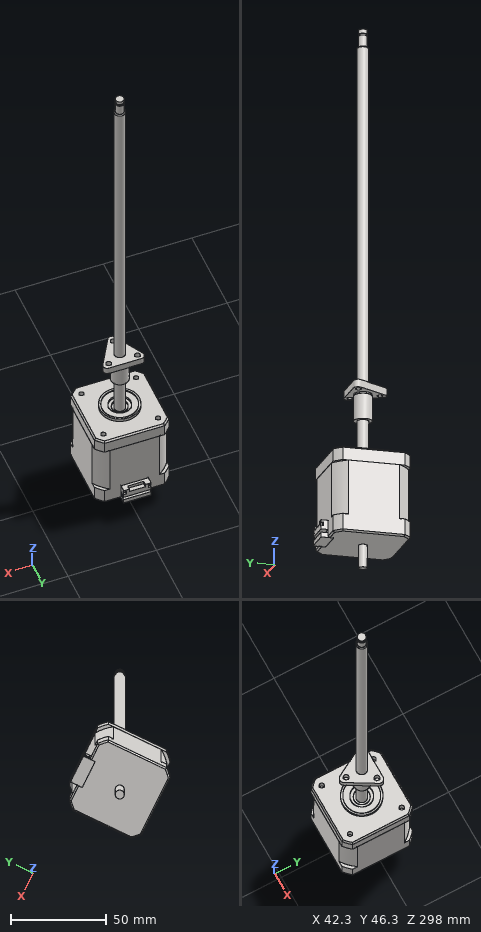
import cadquery as cq
import math

FRAME_WIDTH = 42.3
FRAME_FACE_Y = FRAME_WIDTH / 2
CAP_CORNER_RADIUS = 27.0
STACK_CORNER_RADIUS = 25.3
CAP_CHAMFER = 1.0

FRAME_BOTTOM = 12.5
REAR_CAP_TOP = 22.0
STACK_TOP = 51.8
FRAME_TOP = 59.5
BOSS_TOP = 61.5
NUT_BOTTOM = 81.3
FLANGE_BOTTOM = 96.2
FLANGE_TOP = 100.5
SCREW_TOP = 288.5
SHAFT_TOP = 298.0

BOSS_DIAMETER = 22.3
BOSS_RADIUS = BOSS_DIAMETER / 2
RIM_WIDTH = 1.2
RIM_HEIGHT = 0.5
RECESS_RADIUS = 6.3
CLEARANCE_RADIUS = 4.5
CLEARANCE_DEPTH = 1.0
MOUNT_HOLE_SPACING = 31.0
MOUNT_HOLE_DIAMETER = 2.7
MOUNT_HOLE_DEPTH = 4.5

SCREW_DIAMETER = 6.3
SCREW_RADIUS = SCREW_DIAMETER / 2
SCREW_CHAMFER = 0.5
SHAFT_RADIUS = 2.5
SCREW_START = FRAME_BOTTOM + 3.0
GROOVE_BOTTOM = 294.7
GROOVE_WIDTH = 1.0
GROOVE_DEPTH = 0.3

COLLAR_RADIUS = 5.0
NECK_HEIGHT = 1.0
NECK_DEPTH = 0.3
FLANGE_TIP_CENTRE = 10.7
FLANGE_TIP_RADIUS = 2.5
FLANGE_HOLE_CIRCLE_DIAMETER = 18.8
FLANGE_HOLE_DIAMETER = 3.0
FLANGE_TIP_ANGLES = (-90, 30, 150)

CONNECTOR_WIDTH = 15.5
CONNECTOR_REACH = 4.0
CONNECTOR_SEAT_DEPTH = 3.0
CONNECTOR_FRONT_Y = FRAME_FACE_Y + CONNECTOR_REACH
SLOT_BOTTOM = FRAME_BOTTOM + 2.7
SLOT_TOP = FRAME_BOTTOM + 4.5
LATCH_WIDTH = 9.0
LATCH_DEPTH = 2.5
LATCH_HEIGHT = 1.8
SIDE_NOTCH_WIDTH = 1.5
SIDE_NOTCH_DEPTH = 1.2
SIDE_NOTCH_BOTTOM = REAR_CAP_TOP - 3.0
SIDE_NOTCH_TOP = REAR_CAP_TOP - 1.2


def disc(radius, bottom, top):
    return cq.Workplane("XY").workplane(offset=bottom).circle(radius).extrude(top - bottom)


def ring(outer_radius, depth, bottom, top):
    return disc(outer_radius, bottom, top).cut(disc(outer_radius - depth, bottom, top))


def block(width, back, front, bottom, top, centre_x=0):
    """Box centred on centre_x, reaching from back to front along Y and bottom to top along Z."""
    corner = cq.Vector(centre_x - width / 2, back, bottom)
    return cq.Workplane(cq.Solid.makeBox(width, front - back, top - bottom, corner))


def frame_section(corner_radius, bottom, top):
    square = block(FRAME_WIDTH, -FRAME_FACE_Y, FRAME_FACE_Y, bottom, top)
    return square.intersect(disc(corner_radius, bottom, top))


def make_connector():
    root_y = FRAME_FACE_Y - CONNECTOR_SEAT_DEPTH
    body = block(CONNECTOR_WIDTH, root_y, CONNECTOR_FRONT_Y, FRAME_BOTTOM, REAR_CAP_TOP)
    slot = block(CONNECTOR_WIDTH, FRAME_FACE_Y, CONNECTOR_FRONT_Y, SLOT_BOTTOM, SLOT_TOP)
    latch_recess = block(
        LATCH_WIDTH,
        CONNECTOR_FRONT_Y - LATCH_DEPTH,
        CONNECTOR_FRONT_Y,
        REAR_CAP_TOP - LATCH_HEIGHT,
        REAR_CAP_TOP,
    )
    body = body.cut(slot).cut(latch_recess)
    for side in (-1, 1):
        notch = block(
            SIDE_NOTCH_WIDTH,
            CONNECTOR_FRONT_Y - SIDE_NOTCH_DEPTH,
            CONNECTOR_FRONT_Y,
            SIDE_NOTCH_BOTTOM,
            SIDE_NOTCH_TOP,
            side * (CONNECTOR_WIDTH - SIDE_NOTCH_WIDTH) / 2,
        )
        body = body.cut(notch)
    return body


def make_motor_body(screw, connector):
    """Stack and rear cap in one piece, fitted around the screw and the connector root."""
    stack = frame_section(STACK_CORNER_RADIUS, REAR_CAP_TOP, STACK_TOP)
    rear_cap = frame_section(CAP_CORNER_RADIUS, FRAME_BOTTOM, REAR_CAP_TOP)
    rear_cap = rear_cap.faces("<Z").chamfer(CAP_CHAMFER)
    return stack.union(rear_cap).cut(screw).cut(connector)


def make_mount_holes():
    return (
        cq.Workplane("XY")
        .workplane(offset=FRAME_TOP - MOUNT_HOLE_DEPTH)
        .rect(MOUNT_HOLE_SPACING, MOUNT_HOLE_SPACING, forConstruction=True)
        .vertices()
        .circle(MOUNT_HOLE_DIAMETER / 2)
        .extrude(MOUNT_HOLE_DEPTH)
    )


def make_front_cap():
    plate = frame_section(CAP_CORNER_RADIUS, STACK_TOP, FRAME_TOP)
    plate = plate.faces(">Z").chamfer(CAP_CHAMFER)
    boss = disc(BOSS_RADIUS, FRAME_TOP, BOSS_TOP)
    rim_opening = disc(BOSS_RADIUS - RIM_WIDTH, BOSS_TOP - RIM_HEIGHT, BOSS_TOP)
    recess = disc(RECESS_RADIUS, FRAME_TOP, BOSS_TOP)
    clearance = disc(CLEARANCE_RADIUS, FRAME_TOP - CLEARANCE_DEPTH, FRAME_TOP)
    screw_hole = disc(SCREW_RADIUS, STACK_TOP, FRAME_TOP)
    cap = plate.union(boss).cut(rim_opening).cut(recess).cut(clearance).cut(screw_hole)
    return cap.cut(make_mount_holes())


def make_screw():
    lower_shaft = disc(SHAFT_RADIUS, 0, SCREW_START)
    thread = disc(SCREW_RADIUS, SCREW_START, SCREW_TOP).faces(">Z").chamfer(SCREW_CHAMFER)
    upper_shaft = disc(SHAFT_RADIUS, SCREW_TOP, SHAFT_TOP)
    groove = ring(SHAFT_RADIUS, GROOVE_DEPTH, GROOVE_BOTTOM, GROOVE_BOTTOM + GROOVE_WIDTH)
    return lower_shaft.union(thread).union(upper_shaft).cut(groove)


def points_on_circle(radius, angles):
    return [
        (radius * math.cos(math.radians(angle)), radius * math.sin(math.radians(angle)))
        for angle in angles
    ]


def make_flange():
    thickness = FLANGE_TOP - FLANGE_BOTTOM
    plane = cq.Workplane("XY").workplane(offset=FLANGE_BOTTOM)
    plate = (
        plane.polyline(points_on_circle(FLANGE_TIP_CENTRE, FLANGE_TIP_ANGLES))
        .close()
        .offset2D(FLANGE_TIP_RADIUS)
        .extrude(thickness)
    )
    holes = (
        plane.pushPoints(points_on_circle(FLANGE_HOLE_CIRCLE_DIAMETER / 2, FLANGE_TIP_ANGLES))
        .circle(FLANGE_HOLE_DIAMETER / 2)
        .extrude(thickness)
    )
    return plate.cut(holes)


def make_nut():
    collar = disc(COLLAR_RADIUS, NUT_BOTTOM, FLANGE_BOTTOM)
    neck = ring(COLLAR_RADIUS, NECK_DEPTH, FLANGE_BOTTOM - NECK_HEIGHT, FLANGE_BOTTOM)
    screw_hole = disc(SCREW_RADIUS, NUT_BOTTOM, FLANGE_TOP)
    return make_flange().union(collar.cut(neck)).cut(screw_hole)


screw = make_screw()
connector = make_connector()
motor_body = make_motor_body(screw, connector)
front_cap = make_front_cap()
nut = make_nut()

result = cq.Compound.makeCompound(
    [motor_body.val(), front_cap.val(), screw.val(), nut.val(), connector.val()]
)